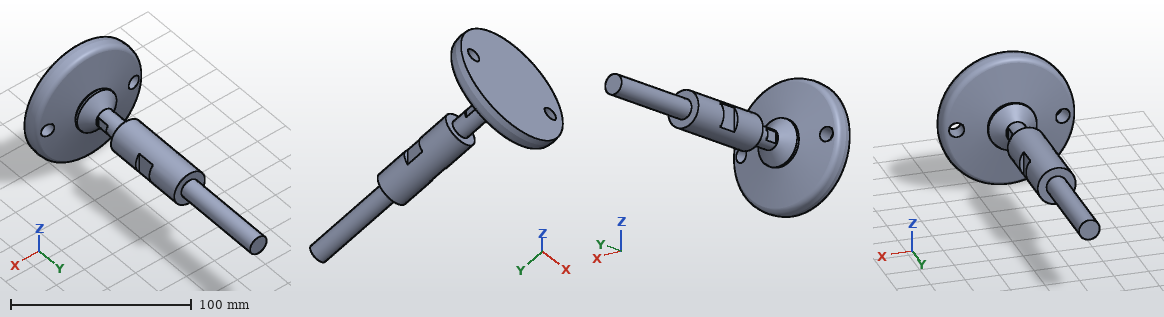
import cadquery as cq
import math

TOTAL_LENGTH = 157.0

PLATE_DIAMETER = 78.0
PLATE_FACE_DIAMETER = 77.2
RIM_WIDEST_HEIGHT = 3.8
RIM_TOP_HEIGHT = 7.0
PLATE_HEIGHT = 13.7
PLATE_TOP_DIAMETER = 26.7
SLOPE_ANGLE = 9.1
SHOULDER_WIDTH = 2.5
HOLE_DIAMETER = 8.5
HOLE_OFFSET = 29.0

STEM_DIAMETER = 12.0
FLANGE_DIAMETER = 28.1
FLANGE_EDGE_START = 14.6
FLANGE_TOP = 16.2
CONE_TOP = 22.8
STEM_FLAT_START = 23.7
STEM_FLAT_LENGTH = 8.0
STEM_FLAT_WIDTH = 9.9
SLEEVE_DIAMETER = 22.0
SLEEVE_START = 41.8
SLEEVE_LENGTH = 55.3
SLEEVE_FLAT_LENGTH = 12.0
SLEEVE_FLAT_WIDTH = 17.0


def revolve_about_y(profile):
    return profile.close().revolve(360, (0, 0, 0), (0, 1, 0))


def tilted_hole(side):
    """Cutter square to the upper cone; side is -1 or +1 along X."""
    tilt = math.radians(SLOPE_ANGLE)
    direction = cq.Vector(side * math.sin(tilt), math.cos(tilt), 0)
    start = cq.Vector(side * HOLE_OFFSET, 0, 0) - direction * PLATE_HEIGHT
    return cq.Solid.makeCylinder(HOLE_DIAMETER / 2, 3 * PLATE_HEIGHT, start, direction)


def make_plate():
    face_radius = PLATE_FACE_DIAMETER / 2
    seat_radius = PLATE_TOP_DIAMETER / 2
    shoulder_radius = face_radius - SHOULDER_WIDTH
    slope = math.tan(math.radians(SLOPE_ANGLE))
    shoulder_height = PLATE_HEIGHT - (shoulder_radius - seat_radius) * slope
    profile = (
        cq.Workplane("XY")
        .lineTo(face_radius, 0)
        .lineTo(PLATE_DIAMETER / 2, RIM_WIDEST_HEIGHT)
        .lineTo(face_radius, RIM_TOP_HEIGHT)
        .tangentArcPoint((shoulder_radius, shoulder_height), relative=False)
        .lineTo(seat_radius, PLATE_HEIGHT)
        .lineTo(0, PLATE_HEIGHT)
    )
    plate = revolve_about_y(profile)
    for side in (-1, 1):
        plate = plate.cut(cq.Workplane("XY").add(tilted_hole(side)))
    return plate


def cut_wrench_flats(body, diameter, width, start, length):
    """Cut two opposite flats, facing -X and +X, a given width apart."""
    depth = (diameter - width) / 2
    for side in (-1, 1):
        cutter = cq.Workplane("XY").box(depth, length, diameter)
        body = body.cut(cutter.translate((side * (width + depth) / 2, start + length / 2, 0)))
    return body


def make_spindle():
    stem_radius = STEM_DIAMETER / 2
    flange_radius = FLANGE_DIAMETER / 2
    sleeve_radius = SLEEVE_DIAMETER / 2
    seat_radius = PLATE_TOP_DIAMETER / 2
    sleeve_end = SLEEVE_START + SLEEVE_LENGTH
    profile = (
        cq.Workplane("XY")
        .moveTo(0, PLATE_HEIGHT)
        .lineTo(seat_radius, PLATE_HEIGHT)
        .lineTo(flange_radius, FLANGE_EDGE_START)
        .lineTo(flange_radius, FLANGE_TOP)
        .lineTo(stem_radius, CONE_TOP)
        .lineTo(stem_radius, SLEEVE_START)
        .lineTo(sleeve_radius, SLEEVE_START)
        .lineTo(sleeve_radius, sleeve_end)
        .lineTo(stem_radius, sleeve_end)
        .lineTo(stem_radius, TOTAL_LENGTH)
        .lineTo(0, TOTAL_LENGTH)
    )
    spindle = revolve_about_y(profile)
    spindle = cut_wrench_flats(
        spindle, STEM_DIAMETER, STEM_FLAT_WIDTH, STEM_FLAT_START, STEM_FLAT_LENGTH
    )
    sleeve_flat_start = SLEEVE_START + (SLEEVE_LENGTH - SLEEVE_FLAT_LENGTH) / 2
    return cut_wrench_flats(
        spindle, SLEEVE_DIAMETER, SLEEVE_FLAT_WIDTH, sleeve_flat_start, SLEEVE_FLAT_LENGTH
    )


plate = make_plate()
spindle = make_spindle()

result = cq.Compound.makeCompound([plate.val().Solids()[0], spindle.val().Solids()[0]])